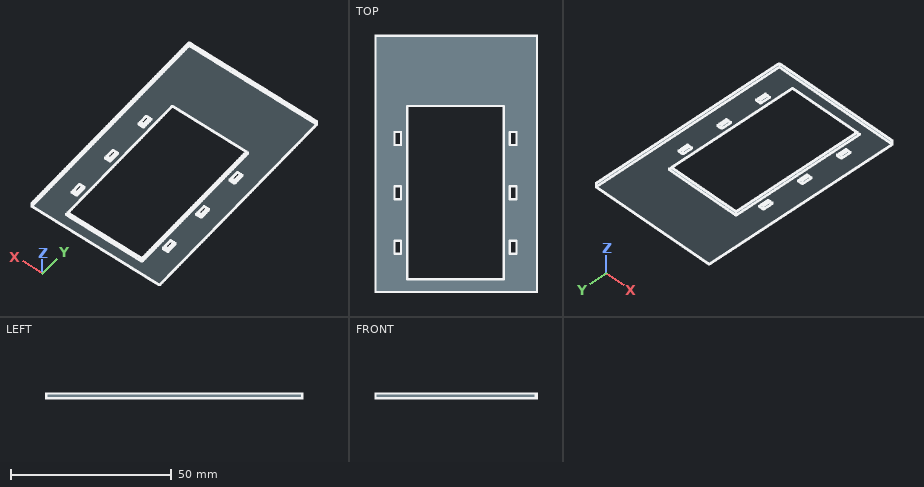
import cadquery as cq

panel_width = 50.0
strip_width = 0.5
plate_length = 80.0
plate_thickness = 1.6
strip_overhang = 0.01

window_width = 30.0
window_length = 54.0
window_bottom = 4.0
window_left = (panel_width - window_width) / 2

slot_width = 2.0
slot_length = 4.0
slot_gap = 2.0
slot_pitch = 17.0
slot_rows = 3
first_slot_bottom = 12.0


def block(left, bottom, width, length):
    """Rectangular block as thick as the plate, placed by its lower left corner."""
    return (
        cq.Workplane("XY")
        .box(width, length, plate_thickness, centered=False)
        .translate((left, bottom, 0))
    )


panel = block(0, strip_overhang, panel_width, plate_length - 2 * strip_overhang)
strip = block(panel_width, 0, strip_width, plate_length)
result = panel.union(strip)

result = result.cut(block(window_left, window_bottom, window_width, window_length))

left_column = window_left - slot_gap - slot_width
right_column = window_left + window_width + slot_gap
for column_left in (left_column, right_column):
    for row in range(slot_rows):
        slot_bottom = first_slot_bottom + row * slot_pitch
        result = result.cut(block(column_left, slot_bottom, slot_width, slot_length))